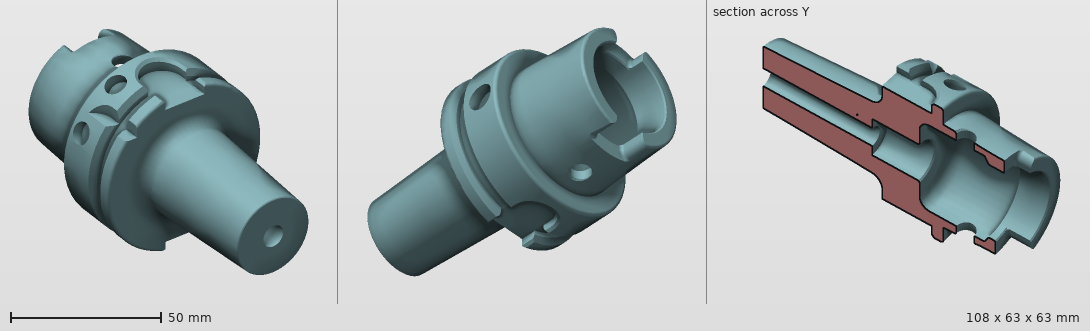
import math

import cadquery as cq


shank_length = 32.0
flange_width = 26.0
flange_end = shank_length + flange_width
total_length = 108.0

shank_base_radius = 24.3
shank_taper = 0.05
shank_end_radius = shank_base_radius - shank_taper * shank_length
shank_end_fillet = 1.0

flange_radius = 31.5
flange_fillet = 1.25
groove_center = shank_length + 18.0
groove_bottom_radius = 27.5
groove_top_half_width = 3.4
groove_bottom_half_width = 2.1
groove_flank_angle = 60.0
groove_flank_depth = (groove_top_half_width - groove_bottom_half_width) * math.tan(
    math.radians(groove_flank_angle)
)
groove_flank_radius = flange_radius - groove_flank_depth

nose_base_radius = 17.1
nose_end_radius = 14.65
nose_fillet = 4.7
nose_end_chamfer = 0.3

mouth_radius = 17.0
mouth_chamfer = 0.5
lip_length = 13.0
undercut_radius = 20.0
clamp_shoulder_angle = 30.0
clamp_shoulder_length = (undercut_radius - mouth_radius) * math.tan(
    math.radians(clamp_shoulder_angle)
)
cavity_depth = 42.0
cavity_floor_fillet = 4.2
tube_bore_radius = 8.4
tube_bore_chamfer = 0.6
tube_bore_depth = 20.0
through_radius = 4.1

drive_slot_half_width = 6.27
drive_slot_edge_radius = 3.0
drive_slot_edge_height = 21.05
drive_slot_fillet = 1.2
top_drive_slot_depth = 6.3
bottom_drive_slot_depth = 10.0

cross_hole_x = 22.8
cross_hole_radius = 3.75
cross_hole_chamfer = 0.5

keyway_width = 16.0
keyway_floor = 26.5
keyway_center_x = 45.0
keyway_chamfer = 1.1

notch_wall_y = -19.75
notch_floor_z = 20.0
notch_cutter_radius = 8.0
notch_center_x = 44.0

rim_hole_radius = 4.0
rim_hole_x = 38.0
rim_hole_floor_radius = 27.3
rim_hole_angles = (26.5, 63.5)

chip_pocket_radius = 5.0
chip_pocket_x = 39.0
chip_pocket_depth = 4.6

reach = 40.0


def ring(outline):
    """Solid of revolution about X from a closed (x, radius) outline."""
    return outline.close().revolve(360, (0, 0, 0), (1, 0, 0))


def make_shank():
    outline = (
        cq.Workplane("XY")
        .lineTo(0, shank_end_radius)
        .lineTo(shank_length, shank_base_radius)
        .lineTo(shank_length, 0)
    )
    return ring(outline).faces("<X").edges().fillet(shank_end_fillet)


def make_disc():
    return cq.Workplane("YZ", origin=(shank_length, 0, 0)).circle(flange_radius).extrude(flange_width)


def make_grooved_flange():
    flange = make_disc().faces("<X or >X").edges().fillet(flange_fillet)
    groove = (
        cq.Workplane("XY")
        .moveTo(groove_center - groove_bottom_half_width, groove_bottom_radius)
        .lineTo(groove_center - groove_bottom_half_width, groove_flank_radius)
        .lineTo(groove_center - groove_top_half_width, flange_radius)
        .lineTo(groove_center - groove_top_half_width, reach)
        .lineTo(groove_center + groove_top_half_width, reach)
        .lineTo(groove_center + groove_top_half_width, flange_radius)
        .lineTo(groove_center + groove_bottom_half_width, groove_flank_radius)
        .lineTo(groove_center + groove_bottom_half_width, groove_bottom_radius)
    )
    return flange.cut(ring(groove))


def make_nose():
    """Tapered nose whose root flares into the flange face with a tangent arc."""
    length = total_length - flange_end
    slope_angle = math.atan2(nose_base_radius - nose_end_radius, length)
    arc_x = flange_end + nose_fillet
    arc_radius = (
        nose_base_radius
        - nose_fillet * math.tan(slope_angle)
        + nose_fillet / math.cos(slope_angle)
    )
    tangent = (
        arc_x - nose_fillet * math.sin(slope_angle),
        arc_radius - nose_fillet * math.cos(slope_angle),
    )
    middle_angle = (math.pi / 2 + slope_angle) / 2
    middle = (
        arc_x - nose_fillet * math.sin(middle_angle),
        arc_radius - nose_fillet * math.cos(middle_angle),
    )
    outline = (
        cq.Workplane("XY")
        .moveTo(flange_end, 0)
        .lineTo(flange_end, arc_radius)
        .threePointArc(middle, tangent)
        .lineTo(total_length, nose_end_radius)
        .lineTo(total_length, 0)
    )
    return ring(outline).faces(">X").edges().chamfer(nose_end_chamfer)


def make_cavity():
    tube_bore_end = cavity_depth + tube_bore_depth
    fillet_drop = cavity_floor_fillet * (1 - math.sqrt(0.5))
    outline = (
        cq.Workplane("XY")
        .lineTo(0, mouth_radius + mouth_chamfer)
        .lineTo(mouth_chamfer, mouth_radius)
        .lineTo(lip_length, mouth_radius)
        .lineTo(lip_length + clamp_shoulder_length, undercut_radius)
        .lineTo(cavity_depth - cavity_floor_fillet, undercut_radius)
        .threePointArc(
            (cavity_depth - fillet_drop, undercut_radius - fillet_drop),
            (cavity_depth, undercut_radius - cavity_floor_fillet),
        )
        .lineTo(cavity_depth, tube_bore_radius + tube_bore_chamfer)
        .lineTo(cavity_depth + tube_bore_chamfer, tube_bore_radius)
        .lineTo(tube_bore_end, tube_bore_radius)
        .lineTo(tube_bore_end, through_radius)
        .lineTo(total_length, through_radius)
        .lineTo(total_length, 0)
    )
    return ring(outline)


def make_drive_slot(depth):
    """Slot cutter on the +Z side; its walls curve outward near the rim of the shank.

    A chamfer like the one at the mouth breaks the edge between slot end and bore.
    """
    arc_y = drive_slot_half_width + drive_slot_edge_radius
    arc_z = drive_slot_edge_height - drive_slot_edge_radius
    arc_inset = drive_slot_edge_radius * math.sqrt(0.5)
    middle_y = arc_y - arc_inset
    middle_z = arc_z + arc_inset
    slot = (
        cq.Workplane("YZ", origin=(depth, 0, 0))
        .moveTo(-drive_slot_half_width, 0)
        .lineTo(-drive_slot_half_width, arc_z)
        .threePointArc((-middle_y, middle_z), (-arc_y, drive_slot_edge_height))
        .lineTo(-reach, drive_slot_edge_height)
        .lineTo(-reach, reach)
        .lineTo(reach, reach)
        .lineTo(reach, drive_slot_edge_height)
        .lineTo(arc_y, drive_slot_edge_height)
        .threePointArc((middle_y, middle_z), (drive_slot_half_width, arc_z))
        .lineTo(drive_slot_half_width, 0)
        .close()
        .extrude(-2 * depth)
        .faces(">X")
        .edges()
        .fillet(drive_slot_fillet)
    )
    mouth = (
        cq.Workplane("XY")
        .moveTo(depth, 0)
        .lineTo(depth, mouth_radius + mouth_chamfer)
        .lineTo(depth + mouth_chamfer, mouth_radius)
        .lineTo(depth + mouth_chamfer, 0)
    )
    slot_span = cq.Workplane("XY").box(
        reach, 2 * drive_slot_half_width, reach, centered=(True, True, False)
    )
    return slot.union(ring(mouth).intersect(slot_span))


def make_cross_hole():
    """Hole across the shank along Z, chamfered where it leaves the taper on both sides."""
    surface_z = shank_end_radius + shank_taper * cross_hole_x
    outline = (
        cq.Workplane("XZ", origin=(cross_hole_x, 0, 0))
        .lineTo(cross_hole_radius, 0)
        .lineTo(cross_hole_radius, surface_z - cross_hole_chamfer)
        .lineTo(cross_hole_radius + cross_hole_chamfer, surface_z)
        .lineTo(cross_hole_radius + cross_hole_chamfer, reach)
        .lineTo(0, reach)
        .close()
    )
    upper = outline.revolve(360, (0, 0, 0), (0, 1, 0))
    return upper.union(upper.mirror("XY"))


def make_keyway():
    """Round-ended keyway cutter on the +Z side."""
    radius = keyway_width / 2
    return (
        cq.Workplane("XY", origin=(0, 0, keyway_floor))
        .moveTo(keyway_center_x, radius)
        .lineTo(keyway_center_x + reach, radius)
        .lineTo(keyway_center_x + reach, -radius)
        .lineTo(keyway_center_x, -radius)
        .threePointArc((keyway_center_x - radius, 0), (keyway_center_x, radius))
        .close()
        .extrude(reach)
    )


def make_keyed_disc():
    """Plain flange disc with two opposite keyways whose rim edges are chamfered."""
    keyway = make_keyway()
    disc = make_disc().cut(keyway).cut(keyway.mirror("XY"))
    rim_z = math.sqrt(flange_radius**2 - (keyway_width / 2) ** 2)
    low = rim_z - keyway_chamfer
    high = flange_radius + keyway_chamfer
    last_x = flange_end - keyway_chamfer
    upper_rim = cq.selectors.BoxSelector((shank_length, -reach, low), (last_x, reach, high))
    lower_rim = cq.selectors.BoxSelector((shank_length, -reach, -high), (last_x, reach, -low))
    return disc.edges(upper_rim + lower_rim).chamfer(keyway_chamfer)


def make_notch():
    """Notch cutter with an upright wall, a flat floor and a rounded end."""
    center_y = notch_wall_y - notch_cutter_radius
    start = (notch_center_x, notch_wall_y)
    return (
        cq.Workplane("XY", origin=(0, 0, notch_floor_z))
        .moveTo(*start)
        .lineTo(flange_end, notch_wall_y)
        .lineTo(flange_end, center_y - notch_cutter_radius)
        .lineTo(notch_center_x, center_y - notch_cutter_radius)
        .threePointArc((notch_center_x - notch_cutter_radius, center_y), start)
        .close()
        .extrude(reach)
    )


def make_rim_hole(angle):
    direction = (0, -math.cos(math.radians(angle)), math.sin(math.radians(angle)))
    floor = tuple(rim_hole_floor_radius * part for part in direction)
    plane = cq.Plane(origin=(rim_hole_x, floor[1], floor[2]), xDir=(1, 0, 0), normal=direction)
    return cq.Workplane(plane).circle(rim_hole_radius).extrude(reach)


def make_chip_pocket():
    floor_y = flange_radius - chip_pocket_depth
    center = cq.Workplane("XZ", origin=(chip_pocket_x, floor_y, 0))
    return center.circle(chip_pocket_radius).extrude(-reach)


flange = make_grooved_flange().intersect(make_keyed_disc())
flange = flange.cut(make_notch()).cut(make_chip_pocket())
for hole_angle in rim_hole_angles:
    flange = flange.cut(make_rim_hole(hole_angle))

body = make_shank().union(flange).union(make_nose()).cut(make_cavity())
body = body.cut(make_drive_slot(top_drive_slot_depth))
body = body.cut(make_drive_slot(bottom_drive_slot_depth).mirror("XY"))
result = body.cut(make_cross_hole())